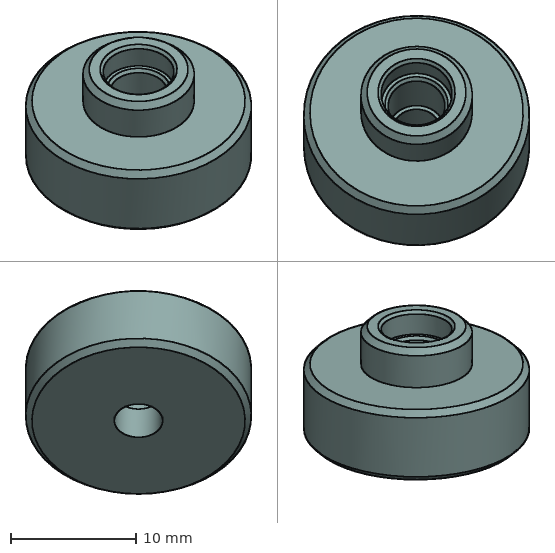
import cadquery as cq

total_height = 9.53
base_diameter = 18.03
base_height = 6.22
boss_diameter = 8.89
outer_chamfer = 0.5

counterbore_diameter = 5.65
counterbore_depth = 2.04
middle_bore_diameter = 4.53
through_hole_diameter = 3.86
bore_chamfer = 0.25

boss_height = total_height - base_height
counterbore_floor = total_height - counterbore_depth
middle_bore_floor = base_height / 2


def make_base():
    """Disc with both rims chamfered."""
    disc = cq.Workplane("XY").circle(base_diameter / 2).extrude(base_height)
    return disc.faces("<Z or >Z").edges().chamfer(outer_chamfer)


def make_boss():
    """Cylindrical boss on top of the disc, with its upper rim chamfered."""
    boss = cq.Workplane("XY").workplane(offset=base_height).circle(boss_diameter / 2).extrude(boss_height)
    return boss.faces(">Z").edges().chamfer(outer_chamfer)


def make_chamfered_bore(diameter, floor, mouth):
    """Cutter for a bore from mouth down to floor, flared at the mouth."""
    bore = cq.Workplane("XY").workplane(offset=floor).circle(diameter / 2).extrude(mouth - floor)
    flare = (
        cq.Workplane("XY")
        .workplane(offset=mouth)
        .circle(diameter / 2 + bore_chamfer)
        .workplane(offset=-bore_chamfer)
        .circle(diameter / 2)
        .loft()
    )
    return bore.union(flare)


counterbore = make_chamfered_bore(counterbore_diameter, counterbore_floor, total_height)
middle_bore = make_chamfered_bore(middle_bore_diameter, middle_bore_floor, counterbore_floor)
through_hole = cq.Workplane("XY").circle(through_hole_diameter / 2).extrude(total_height)

body = make_base().union(make_boss())
result = body.cut(counterbore).cut(middle_bore).cut(through_hole)